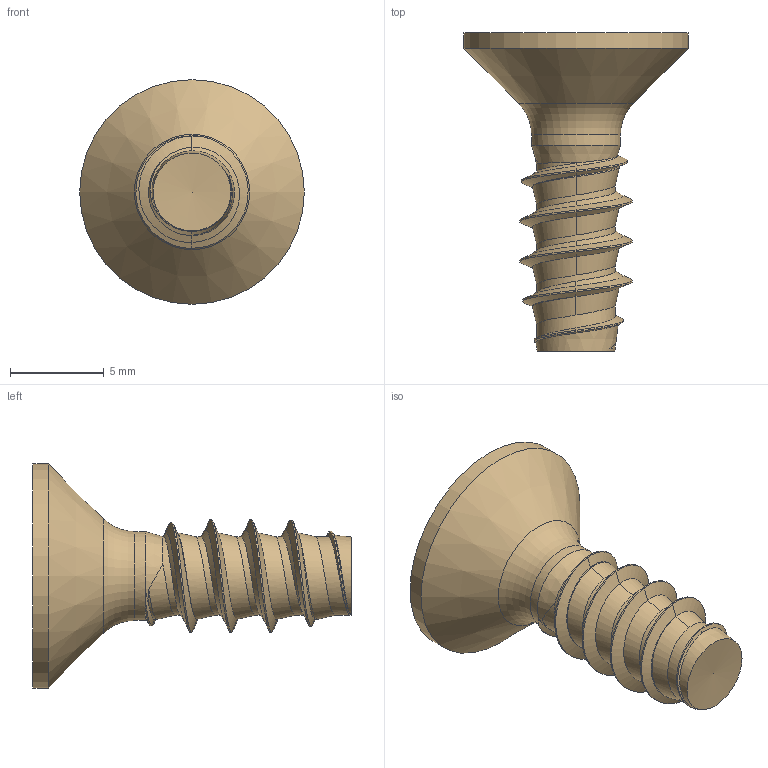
import cadquery as cq
import math

length = 17.0

head_radius = 6.0
head_rim_depth = 0.83
neck_radius = 2.375
neck_end_depth = 6.0
throat_fillet = 2.4
head_cone_angle = 45

core_radius = 2.1
neck_taper_end_depth = 6.95
tip_radius = 2.08
tip_taper_start_radius = 2.33
tip_taper_start_depth = 15.0
tip_hollow_depth = 0.1

pitch = 2.135
crest_radius = 3.0
first_crest_depth = 6.85
crest_half_width = 0.04
knee_offset = 0.27
knee_radius = 2.47
heel_offset = 0.53
toe_offset = 0.30
toe_radius = 2.32
ramp_end_offset = 1.27
root_radius = 2.0

start_crest_radius = 2.6
full_thread_start_depth = 8.25
full_thread_end_depth = 13.75

first_turn = -1.25
turns_per_span = 0.5
span_count = 13
points_per_span = 6


def revolve_profile(profile):
    """Turn a half profile of (radius, y) points about the screw axis."""
    return profile.close().revolve(360, (0, 0, 0), (0, 1, 0))


def make_head():
    bend = math.radians(head_cone_angle)
    half_bend = bend / 2
    cone_end_radius = neck_radius + throat_fillet * (1 - math.cos(bend))
    cone_end_depth = head_rim_depth + (head_radius - cone_end_radius) / math.tan(bend)
    throat_end_depth = cone_end_depth + throat_fillet * math.sin(bend)
    throat_middle = (
        neck_radius + throat_fillet * (1 - math.cos(half_bend)),
        -throat_end_depth + throat_fillet * math.sin(half_bend),
    )
    profile = (
        cq.Workplane("XY")
        .lineTo(head_radius, 0)
        .lineTo(head_radius, -head_rim_depth)
        .lineTo(cone_end_radius, -cone_end_depth)
        .threePointArc(throat_middle, (neck_radius, -throat_end_depth))
        .lineTo(neck_radius, -neck_end_depth)
        .lineTo(0, -neck_end_depth)
    )
    return revolve_profile(profile)


def make_core():
    profile = (
        cq.Workplane("XY")
        .moveTo(0, -neck_end_depth)
        .lineTo(neck_radius, -neck_end_depth)
        .lineTo(core_radius, -neck_taper_end_depth)
        .lineTo(core_radius, -length)
        .lineTo(0, -length)
    )
    return revolve_profile(profile)


def make_tip_envelope():
    """Space the core and ramp may fill: a cylinder narrowing towards the tip."""
    profile = (
        cq.Workplane("XY")
        .moveTo(0, -neck_end_depth)
        .lineTo(crest_radius, -neck_end_depth)
        .lineTo(crest_radius, -tip_taper_start_depth)
        .lineTo(tip_taper_start_radius, -tip_taper_start_depth)
        .lineTo(tip_radius, -length)
        .lineTo(0, -length)
    )
    return revolve_profile(profile)


def make_thread_envelope():
    """Space the thread ridge may fill, from the end of the neck to the tip."""
    threaded_length = length - neck_end_depth
    return cq.Workplane("XZ", origin=(0, -neck_end_depth, 0)).circle(head_radius).extrude(threaded_length)


def make_tip_hollow():
    profile = (
        cq.Workplane("XY")
        .moveTo(0, -length)
        .lineTo(tip_radius, -length)
        .lineTo(0, -length + tip_hollow_depth)
    )
    return revolve_profile(profile)


def no_sink(depth):
    return 0.0


def thread_sink(depth):
    """How far the thread ridge is lowered below full height at a given crest depth."""
    run_in_slope = (crest_radius - start_crest_radius) / (full_thread_start_depth - neck_end_depth)
    run_out_slope = (crest_radius - tip_radius) / (length - full_thread_end_depth)
    run_in = run_in_slope * (full_thread_start_depth - depth)
    run_out = run_out_slope * (depth - full_thread_end_depth)
    return max(0.0, run_in, run_out)


def helix_point(turn, offset, radius, sink):
    crest_depth = first_crest_depth + pitch * turn
    angle = 2 * math.pi * turn
    lowered_radius = radius - sink(crest_depth)
    return cq.Vector(
        lowered_radius * math.cos(angle),
        -(crest_depth + offset),
        lowered_radius * math.sin(angle),
    )


def make_rail(corner, start_turn, sink):
    """Helical edge followed by one section corner over a single face span."""
    offset, radius = corner
    points = []
    for step in range(points_per_span + 1):
        turn = start_turn + turns_per_span * step / points_per_span
        points.append(helix_point(turn, offset, radius, sink))
    return cq.Edge.makeSpline(points)


def make_helical_body(section, sink):
    """Wind a section of (depth offset from the crest, radius) corners round the axis."""
    faces = []
    for span in range(span_count):
        start_turn = first_turn + span * turns_per_span
        rails = [make_rail(corner, start_turn, sink) for corner in section]
        for index, rail in enumerate(rails):
            faces.append(cq.Face.makeRuledSurface(rails[index - 1], rail))
    for turn in (first_turn, first_turn + span_count * turns_per_span):
        corners = [helix_point(turn, offset, radius, sink) for offset, radius in section]
        faces.append(cq.Face.makeFromWires(cq.Wire.makePolygon(corners, close=True)))
    return cq.Workplane(cq.Solid.makeSolid(cq.Shell.makeShell(faces)))


def make_ridge():
    """Thread ridge, sinking into the core at both ends."""
    heel_slope = (heel_offset - knee_offset) / (knee_radius - core_radius)
    buried_heel_offset = heel_offset + heel_slope * (core_radius - root_radius)
    section = [
        (-buried_heel_offset, root_radius),
        (-knee_offset, knee_radius),
        (-crest_half_width, crest_radius),
        (crest_half_width, crest_radius),
        (toe_offset, toe_radius),
        (toe_offset, root_radius),
    ]
    return make_helical_body(section, thread_sink)


def make_ramp():
    """Helical cone-like root face falling from the tip-side flank to the core."""
    ramp_slope = (ramp_end_offset - toe_offset) / (toe_radius - core_radius)
    buried_ramp_end_offset = ramp_end_offset + ramp_slope * (core_radius - root_radius)
    section = [
        (0, root_radius),
        (0, toe_radius),
        (toe_offset, toe_radius),
        (buried_ramp_end_offset, root_radius),
    ]
    return make_helical_body(section, no_sink)


tip_envelope = make_tip_envelope()
ramp = make_ramp().intersect(tip_envelope)
root = make_core().union(ramp).intersect(tip_envelope)
ridge = make_ridge().intersect(make_thread_envelope())
result = make_head().union(root).union(ridge).cut(make_tip_hollow())